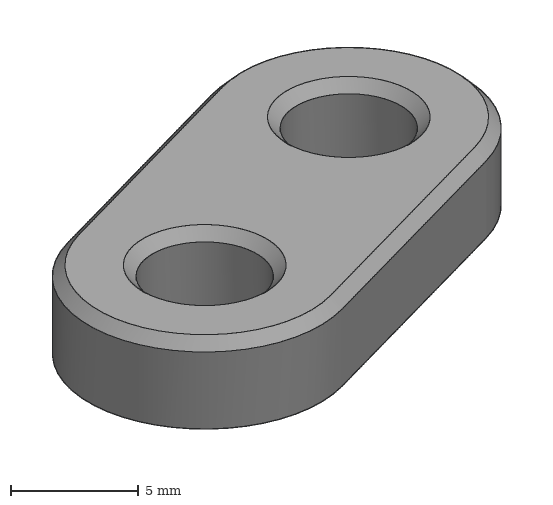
import cadquery as cq

length = 25.0
width = 12.0
thickness = 4.0
edge_chamfer = 0.5

hole_diameter = 5.4
hole_spacing = length - width


def make_plate():
    """Plate with full-round ends and a chamfered top outline."""
    plate = cq.Workplane("XY").slot2D(length, width, 90).extrude(thickness)
    return plate.faces(">Z").edges().chamfer(edge_chamfer)


def make_hole_cutter(y):
    """Through hole with a 45 degree countersink at the top face."""
    radius = hole_diameter / 2
    profile = [
        (0, 0),
        (radius, 0),
        (radius, thickness - edge_chamfer),
        (radius + edge_chamfer, thickness),
        (0, thickness),
    ]
    cutter = cq.Workplane("XZ").polyline(profile).close().revolve(360, (0, 0), (0, 1))
    return cutter.translate((0, y, 0))


result = make_plate()
for hole_y in (-hole_spacing / 2, hole_spacing / 2):
    result = result.cut(make_hole_cutter(hole_y))